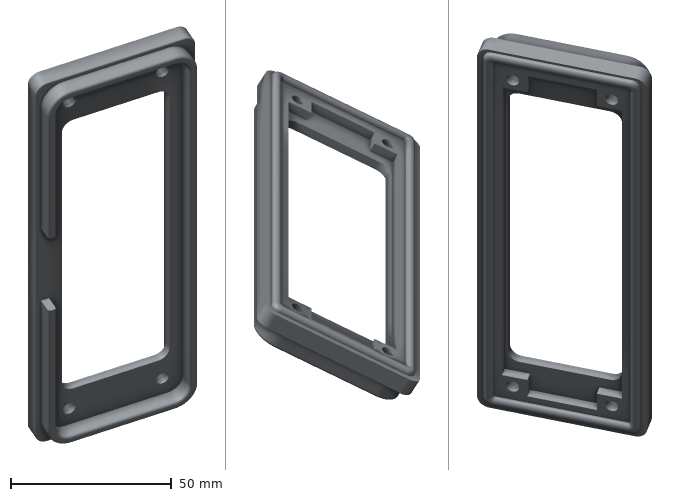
import cadquery as cq

length = 152.0
width = 55.0
depth = 13.0

bead_height = 1.7
flange_back = 7.6
flange_corner = 4.0
flange_fillet = 0.5

bead_width = 3.2
bead_side_gap = 2.1
bead_top_gap = 0.9
bead_bottom_gap = 2.1
crest_width = 0.03
bead_outer_corner = 2.7
bead_inner_corner = 0.8
bead_fillet = (bead_width - crest_width) / 2

rim_width = 51.5
rim_length = 149.0
rim_wall = 2.7
rim_corner = 7.9
rim_fillet = 0.9

notch_length = 30.7

window_width = 37.1
window_length = 114.0
window_corner = 4.0

pocket_depth = 3.0
pocket_width = 38.9
pocket_length = 122.2
pocket_end_width = 22.5
pocket_end_length = 136.0

hole_diameter = 4.3
hole_spacing_y = 32.0
hole_spacing_z = 130.1


def block(x_start, x_end, size_y, size_z, center_z=0.0):
    """Box spanning x_start..x_end, centred on Y = 0 and Z = center_z."""
    return (
        cq.Workplane("YZ", origin=(x_start, 0, center_z))
        .rect(size_y, size_z)
        .extrude(x_end - x_start)
    )


def rounded_block(x_start, x_end, size_y, size_z, corner, center_z=0.0):
    """Block with its four X-parallel edges rounded."""
    return block(x_start, x_end, size_y, size_z, center_z).edges("|X").fillet(corner)


def make_flange():
    flange = rounded_block(bead_height, flange_back, width, length, flange_corner)
    return flange.faces(">X").edges().fillet(flange_fillet)


def make_bead():
    outer_y = width - 2 * bead_side_gap
    outer_z = length - bead_top_gap - bead_bottom_gap
    center_z = (bead_bottom_gap - bead_top_gap) / 2
    inner_y = outer_y - 2 * bead_width
    inner_z = outer_z - 2 * bead_width
    outer = rounded_block(0, bead_height, outer_y, outer_z, bead_outer_corner, center_z)
    inner = rounded_block(0, bead_height, inner_y, inner_z, bead_inner_corner, center_z)
    return outer.cut(inner).faces("<X").edges().fillet(bead_fillet)


def make_rim():
    inner_y = rim_width - 2 * rim_wall
    inner_z = rim_length - 2 * rim_wall
    outer = rounded_block(flange_back, depth, rim_width, rim_length, rim_corner)
    inner = rounded_block(flange_back, depth, inner_y, inner_z, rim_corner - rim_wall)
    rim = outer.cut(inner).faces(">X").edges().fillet(rim_fillet)
    notch = block(flange_back, depth, 2 * rim_wall, notch_length)
    return rim.cut(notch.translate((0, -rim_width / 2, 0)))


def make_pocket():
    floor = bead_height + pocket_depth
    main = block(bead_height, floor, pocket_width, pocket_length)
    ends = block(bead_height, floor, pocket_end_width, pocket_end_length)
    return main.union(ends)


def make_window():
    return rounded_block(bead_height, flange_back, window_width, window_length, window_corner)


def make_holes():
    return (
        cq.Workplane("YZ", origin=(bead_height, 0, 0))
        .rect(hole_spacing_y, hole_spacing_z, forConstruction=True)
        .vertices()
        .circle(hole_diameter / 2)
        .extrude(flange_back - bead_height)
    )


body = make_flange().union(make_bead()).union(make_rim())
body = body.cut(make_pocket()).cut(make_window()).cut(make_holes())
result = body.translate((-depth / 2, 0, 0))